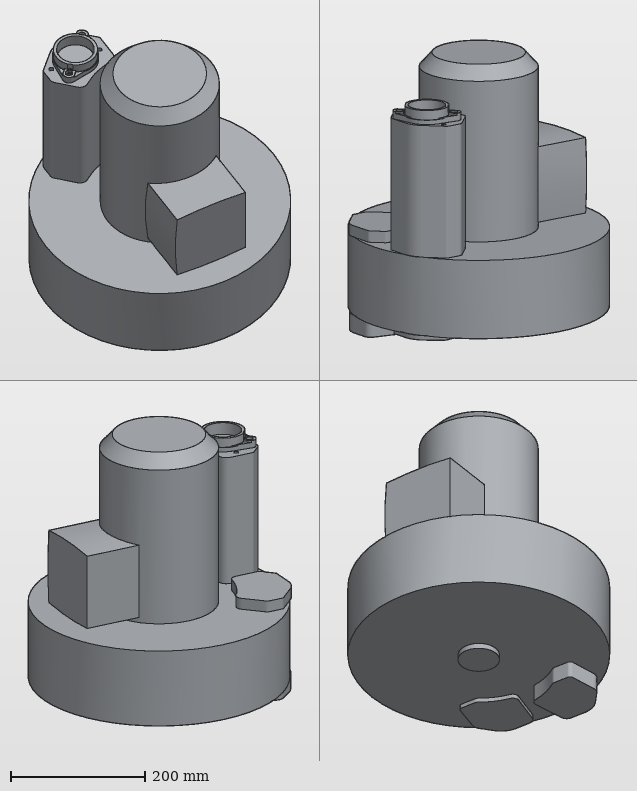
import cadquery as cq
import math

total_height = 416.5
housing_bottom = 27.0
housing_height = 121.0
housing_top = housing_bottom + housing_height
tower_top = 350.8
cover_top = housing_top + 17.5

housing_radius = 195.0
motor_radius = 88.7
motor_top_radius = 69.5
motor_taper_height = 21.2
hub_radius = 31.0
hub_height = 8.7

box_end_x = 155.5
box_half_width = 58.5
box_bottom = 156.2
box_top = 272.5
box_bulge = 3.0

hollow_radius = 116.0
hollow_edge_tolerance = 0.5

port_x = -144.0
port_y = -62.5
tower_left = -185.0
tower_half_length = 54.0
tower_front_right = -120.5
tower_corner_radius = 6.0
tower_side_radius = 35.5
tower_front_right_radius = 10.5
tower_hollow_corner_radius = 12.5
tower_back_chamfer = 18.7
tower_front_chamfer_x = 38.5
tower_front_chamfer_y = 38.0

flange_radius = 34.5
flange_rim_height = 6.5
flange_web_height = 8.7
lug_height = 11.5
lug_radius = 10.0
lug_distance = 41.0
lug_angle = -43.0
lug_pad_width = 17.5
collar_radius = 33.0
collar_bore_radius = 28.0
collar_height = 21.2
collar_floor_height = 2.5
screw_hole_radius = 5.5
screw_hole_depth = 6.2
screw_core_radius = 3.7
screw_core_depth = 10.5
screw_clearance_radius = 9.0
pin_hole_radius = 3.5
pin_hole_depth = 6.2
pin_hole_offset = 41.2

shallow_foot_height = 7.0
deep_foot_height = housing_bottom
foot_left = -184.0
foot_right = -92.5
foot_hollow_corner_radius = 9.5


def cylinder(x, y, bottom, radius, height):
    return cq.Workplane("XY", origin=(x, y, bottom)).circle(radius).extrude(height)


def rounded_prism(corners, bottom, height):
    """Extrude a polygon of (x, y, radius) corners, each rounded by its radius (0 = sharp)."""
    pieces = []
    for i, (x, y, radius) in enumerate(corners):
        corner = cq.Vector(x, y)
        before = (cq.Vector(*corners[i - 1][:2]) - corner).normalized()
        after = (cq.Vector(*corners[(i + 1) % len(corners)][:2]) - corner).normalized()
        half_angle = before.getAngle(after) / 2
        setback = radius / math.tan(half_angle)
        bisector = (before + after).normalized()
        middle = corner + bisector * (radius / math.sin(half_angle) - radius)
        pieces.append((corner + before * setback, middle, corner + after * setback, radius))

    outline = cq.Workplane("XY", origin=(0, 0, bottom)).moveTo(pieces[0][2].x, pieces[0][2].y)
    for start, middle, end, radius in pieces[1:] + pieces[:1]:
        outline = outline.lineTo(start.x, start.y)
        if radius > 0:
            outline = outline.threePointArc((middle.x, middle.y), (end.x, end.y))
    return outline.close().extrude(height)


def hollow_around_motor(block, bottom, height, corner_radius):
    """Cut an arc about the motor axis out of a block and round the two corners it leaves."""
    block = block.cut(cylinder(0, 0, bottom, hollow_radius, height))
    rim_limit = hollow_radius + hollow_edge_tolerance

    def is_on_hollow(edge):
        return math.hypot(edge.Center().x, edge.Center().y) < rim_limit

    return block.edges("|Z").filter(is_on_hollow).fillet(corner_radius)


def make_motor():
    straight_top = total_height - motor_taper_height
    return (
        cq.Workplane("XZ")
        .moveTo(0, housing_bottom)
        .lineTo(motor_radius, housing_bottom)
        .lineTo(motor_radius, straight_top)
        .lineTo(motor_top_radius, total_height)
        .lineTo(0, total_height)
        .close()
        .revolve(360, (0, 0, 0), (0, 1, 0))
    )


def make_terminal_box():
    """Box whose top, bottom and -Y faces bulge slightly; its +Y face is flat."""
    middle_z = (box_bottom + box_top) / 2
    return (
        cq.Workplane("YZ")
        .moveTo(box_half_width, box_bottom)
        .lineTo(box_half_width, box_top)
        .threePointArc((0, box_top + box_bulge), (-box_half_width, box_top))
        .threePointArc((-box_half_width - box_bulge, middle_z), (-box_half_width, box_bottom))
        .threePointArc((0, box_bottom - box_bulge), (box_half_width, box_bottom))
        .close()
        .extrude(box_end_x)
    )


def make_tower_block(top):
    """Block beside the motor, hollowed by an arc around the motor axis."""
    front = port_y - tower_half_length
    back = port_y + tower_half_length
    inner = -motor_radius / 2
    corners = [
        (tower_left, front + tower_front_chamfer_y, tower_side_radius),
        (tower_left + tower_front_chamfer_x, front, tower_corner_radius),
        (tower_front_right, front, tower_front_right_radius),
        (inner, front + inner - tower_front_right, 0),
        (inner, back, 0),
        (tower_left + tower_back_chamfer, back, tower_corner_radius),
        (tower_left, back - tower_back_chamfer, tower_corner_radius),
    ]
    height = top - housing_top
    block = rounded_prism(corners, housing_top, height)
    return hollow_around_motor(block, housing_top, height, tower_hollow_corner_radius)


def make_port():
    """Flange, lugs and collar, laid out about the port axis with the tower top at Z = 0."""
    tangent = math.acos((flange_radius - lug_radius) / lug_distance)
    tangent_cos = math.cos(tangent)
    tangent_sin = math.sin(tangent)
    rim_x = flange_radius * tangent_cos
    rim_y = flange_radius * tangent_sin
    end_x = lug_distance + lug_radius * tangent_cos
    end_y = lug_radius * tangent_sin

    port = cylinder(0, 0, 0, flange_radius, flange_rim_height)
    pad_limit = cq.Workplane("XY").rect(3 * lug_distance, lug_pad_width).extrude(lug_height)
    for turn in (0, 180):
        arm = (
            cq.Workplane("XY")
            .moveTo(rim_x, rim_y)
            .lineTo(end_x, end_y)
            .threePointArc((lug_distance + lug_radius, 0), (end_x, -end_y))
            .lineTo(rim_x, -rim_y)
            .threePointArc((flange_radius, 0), (rim_x, rim_y))
            .close()
            .extrude(lug_height)
        )
        web = arm.intersect(cylinder(0, 0, 0, 2 * lug_distance, flange_web_height))
        pad = arm.intersect(pad_limit)
        port = port.union(web.union(pad).rotate((0, 0, 0), (0, 0, 1), turn))

    port = port.union(cylinder(0, 0, 0, collar_radius, collar_height))
    bore_depth = collar_height - collar_floor_height
    port = port.cut(cylinder(0, 0, collar_floor_height, collar_bore_radius, bore_depth))
    clearance_height = collar_height - lug_height
    for x in (-lug_distance, lug_distance):
        port = port.cut(cylinder(x, 0, lug_height, screw_clearance_radius, clearance_height))
        port = port.cut(cylinder(x, 0, lug_height - screw_hole_depth, screw_hole_radius, screw_hole_depth))
        port = port.cut(cylinder(x, 0, lug_height - screw_core_depth, screw_core_radius, screw_core_depth))
    return port.rotate((0, 0, 0), (0, 0, 1), lug_angle).translate((port_x, port_y, tower_top))


def make_foot(height):
    """Foot on the -Y side, hanging below the housing."""
    corners = [
        (foot_left, -81.0, 39.0),
        (-146.5, -112.0, 15.0),
        (foot_right, -101.5, 6.2),
        (foot_right, -8.7, 0),
        (foot_left, -28.7, 11.0),
    ]
    bottom = housing_bottom - height
    block = rounded_prism(corners, bottom, height)
    return hollow_around_motor(block, bottom, height, foot_hollow_corner_radius)


housing = cylinder(0, 0, housing_bottom, housing_radius, housing_height)
hub = cylinder(0, 0, housing_bottom - hub_height, hub_radius, hub_height)
tower = make_tower_block(tower_top)
for side in (-1, 1):
    pin_y = port_y + side * pin_hole_offset
    tower = tower.cut(cylinder(port_x, pin_y, tower_top - pin_hole_depth, pin_hole_radius, pin_hole_depth))
cover = make_tower_block(cover_top).mirror("XZ")

result = housing
for piece in (
    make_motor(),
    make_terminal_box(),
    hub,
    tower,
    make_port(),
    cover,
    make_foot(shallow_foot_height),
    make_foot(deep_foot_height).mirror("XZ"),
):
    result = result.union(piece)